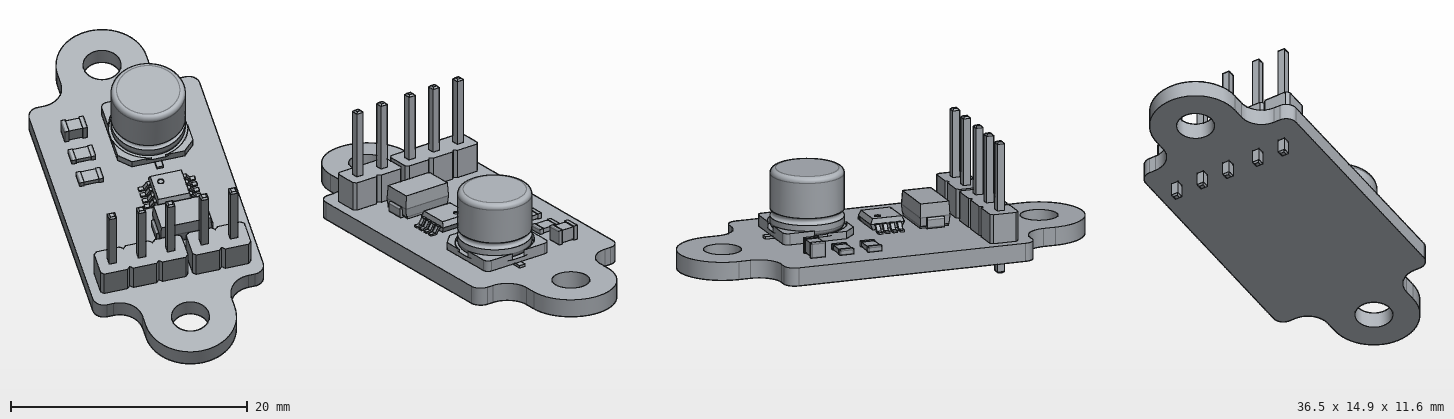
import cadquery as cq


LENGTH = 36.45
BOARD_LENGTH = 22.5
BOARD_WIDTH = 14.95
BOARD_THICKNESS = 1.6
EAR_RADIUS = 3.9
EAR_HOLE_DIAMETER = 3.2
BOARD_CORNER_RADIUS = 1.0
EAR_BLEND_RADIUS = 2.0
SELECTION_MARGIN = 0.35

PITCH = 2.55
HEADER_X = 8.7
HEADER_HEIGHT = 2.55
HEADER_CHAMFER = 0.25
PIN_SIDE = 0.65
PIN_TOP = 8.55
PIN_BOTTOM = -3.0
PIN_TIP_CHAMFER = 0.15
LONG_HEADER_Y = -2.8
LONG_HEADER_PINS = 3
SHORT_HEADER_Y = 3.97
SHORT_HEADER_PINS = 2

CAN_X = -5.98
CAN_Y = 1.8
CAN_RADIUS = 6.3 / 2
CAN_BOTTOM = 0.62
CAN_TOP = 5.85
CAN_EDGE_RADIUS = 0.47
GROOVE_BOTTOM = 1.65
GROOVE_TOP = 2.25
GROOVE_DEPTH = 0.3
BASE_SIDE = 6.6
BASE_GAP = 0.22
BASE_TOP_HIGH = 1.2
BASE_TOP_LOW = 0.87
BASE_CHAMFER = 1.0
BASE_CORNER_RADIUS = 1.0 / 2
BASE_POCKET_RADIUS = 3.35
CAN_TERMINAL_SPAN = 7.8
CAN_TERMINAL_WIDTH = 0.6

CHIP_ROW_Y = 1.85

CHIP_X = 0.75
CHIP_LENGTH_X = 3.05
CHIP_LENGTH_Y = 2.95
CHIP_BOTTOM = 0.1
CHIP_MIDDLE = 0.62
CHIP_TOP = 1.1
CHIP_DRAFT_X = 0.22
CHIP_DRAFT_Y = 0.1
LEADS_PER_SIDE = 4
LEAD_PITCH = 0.65
LEAD_WIDTH = 0.35
LEAD_THICKNESS = 0.15
LEAD_SPAN = 4.95
LEAD_FOOT = 0.45
LEAD_RISER = 0.33
LEAD_TOP = 0.65
DIMPLE_DIAMETER = 0.5
DIMPLE_DEPTH = 0.1
DIMPLE_INSET = 0.73

DIODE_X = 4.77
DIODE_LENGTH_X = 2.7
DIODE_LENGTH_Y = 4.5
DIODE_FOOT_HEIGHT = 0.2
DIODE_FOOT_SETBACK = 0.22
DIODE_SPLIT = 1.0
DIODE_TOP = 2.2
DIODE_DRAFT = 0.07
DIODE_LEAD_SPAN = 4.95
DIODE_LEAD_WIDTH = 1.53
DIODE_LEAD_TOP = 0.95
DIODE_LEAD_BEND = 0.15

CHIP_CAPACITOR_X = -7.6
RESISTOR_ROW_X = -5.05
PASSIVE_Y = -4.25
PASSIVE_TERMINAL_LENGTH = 0.4
PASSIVE_EDGE_RADIUS = 0.07
CHIP_CAPACITOR_SIZE = (1.3, 2.0, 1.3)
CHIP_CAPACITOR_STEP = 0.07
RESISTOR_SIZE = (1.25, 2.1, 0.47)
RESISTOR_STEP = 0.05
RESISTOR_COUNT = 2


def box(size_x, size_y, bottom, top):
    """A box centred on the Z axis between two heights."""
    return cq.Workplane("XY", origin=(0, 0, bottom)).rect(size_x, size_y).extrude(top - bottom)


def frustum(size_x, size_y, draft_x, draft_y, wide_z, narrow_z):
    """A rectangular block that narrows by the drafts from one height to another."""
    return (
        cq.Workplane("XY", origin=(0, 0, wide_z))
        .rect(size_x, size_y)
        .workplane(offset=narrow_z - wide_z)
        .rect(size_x - 2 * draft_x, size_y - 2 * draft_y)
        .loft(ruled=True)
    )


def pin_places(count, centre_y):
    """The Y places of a row of header pins."""
    return [centre_y + (index - (count - 1) / 2) * PITCH for index in range(count)]


def make_board():
    ear_x = LENGTH / 2 - EAR_RADIUS
    body = box(BOARD_LENGTH, BOARD_WIDTH, -BOARD_THICKNESS, 0)
    body = body.edges("|Z").fillet(BOARD_CORNER_RADIUS)
    strap = box(2 * ear_x, 2 * EAR_RADIUS, -BOARD_THICKNESS, 0)
    ear_centres = cq.Workplane("XY").pushPoints([(-ear_x, 0), (ear_x, 0)])
    ears = ear_centres.circle(EAR_RADIUS).extrude(-BOARD_THICKNESS)
    board = body.union(strap).union(ears)

    blend_edges = cq.selectors.BoxSelector(
        (-BOARD_LENGTH / 2 - SELECTION_MARGIN, -EAR_RADIUS - SELECTION_MARGIN, -BOARD_THICKNESS),
        (BOARD_LENGTH / 2 + SELECTION_MARGIN, EAR_RADIUS + SELECTION_MARGIN, 0),
    )
    board = board.edges("|Z").edges(blend_edges).fillet(EAR_BLEND_RADIUS)

    holes = ear_centres.circle(EAR_HOLE_DIAMETER / 2).extrude(-BOARD_THICKNESS)
    board = board.cut(holes)

    pins_y = pin_places(LONG_HEADER_PINS, LONG_HEADER_Y) + pin_places(SHORT_HEADER_PINS, SHORT_HEADER_Y)
    pin_holes = cq.Workplane("XY").pushPoints([(HEADER_X, y) for y in pins_y]).rect(PIN_SIDE, PIN_SIDE)
    return board.cut(pin_holes.extrude(-BOARD_THICKNESS))


def make_header(pin_count, centre_y):
    cell = box(PITCH, PITCH, 0, HEADER_HEIGHT).edges("|Z").chamfer(HEADER_CHAMFER)
    pin = box(PIN_SIDE, PIN_SIDE, PIN_BOTTOM, PIN_TOP).faces("<Z or >Z").chamfer(PIN_TIP_CHAMFER)
    header = cq.Workplane("XY")
    for y in pin_places(pin_count, centre_y):
        header = header.union(cell.union(pin).translate((HEADER_X, y, 0)))
    return header


def make_can():
    """Aluminium can with a rounded groove above its lower rim, turned about Z."""
    groove_middle = (GROOVE_BOTTOM + GROOVE_TOP) / 2
    can = (
        cq.Workplane("XZ")
        .moveTo(0, CAN_BOTTOM)
        .lineTo(CAN_RADIUS, CAN_BOTTOM)
        .lineTo(CAN_RADIUS, GROOVE_BOTTOM)
        .threePointArc((CAN_RADIUS - GROOVE_DEPTH, groove_middle), (CAN_RADIUS, GROOVE_TOP))
        .lineTo(CAN_RADIUS, CAN_TOP)
        .lineTo(0, CAN_TOP)
        .close()
        .revolve(360, (0, 0, 0), (0, 1, 0))
    )
    return can.faces("<Z or >Z").edges().fillet(CAN_EDGE_RADIUS)


def make_can_base():
    """Plastic base, lower on its +X half, with a round pocket that holds the can."""
    base = box(BASE_SIDE, BASE_SIDE, BASE_GAP, BASE_TOP_HIGH)
    base = base.edges("|Z and >X").chamfer(BASE_CHAMFER)
    base = base.edges("|Z and <X").fillet(BASE_CORNER_RADIUS)
    low_half = box(BASE_SIDE, BASE_SIDE, BASE_TOP_LOW, BASE_TOP_HIGH).translate((BASE_SIDE / 2, 0, 0))
    pocket = cq.Workplane("XY", origin=(0, 0, CAN_BOTTOM)).circle(BASE_POCKET_RADIUS).extrude(BASE_TOP_HIGH)
    return base.cut(low_half).cut(pocket)


def make_can_capacitor():
    terminals = box(CAN_TERMINAL_SPAN, CAN_TERMINAL_WIDTH, 0, BASE_GAP)
    capacitor = make_can_base().union(make_can()).union(terminals)
    return capacitor.translate((CAN_X, CAN_Y, 0))


def make_lead():
    """Gull-wing lead that runs from the chip's centre plane to +Y."""
    toe = LEAD_SPAN / 2
    heel = toe - LEAD_FOOT
    shoulder = heel - LEAD_RISER
    return (
        cq.Workplane("YZ")
        .moveTo(toe, 0)
        .lineTo(toe, LEAD_THICKNESS)
        .lineTo(heel, LEAD_THICKNESS)
        .lineTo(shoulder, LEAD_TOP)
        .lineTo(0, LEAD_TOP)
        .lineTo(0, LEAD_TOP - LEAD_THICKNESS)
        .lineTo(shoulder - LEAD_THICKNESS, LEAD_TOP - LEAD_THICKNESS)
        .lineTo(heel - LEAD_THICKNESS, 0)
        .close()
        .extrude(LEAD_WIDTH / 2, both=True)
    )


def make_chip():
    upper = frustum(CHIP_LENGTH_X, CHIP_LENGTH_Y, CHIP_DRAFT_X, CHIP_DRAFT_Y, CHIP_MIDDLE, CHIP_TOP)
    lower = frustum(CHIP_LENGTH_X, CHIP_LENGTH_Y, CHIP_DRAFT_X, CHIP_DRAFT_Y, CHIP_MIDDLE, CHIP_BOTTOM)
    chip = upper.union(lower)
    for index in range(LEADS_PER_SIDE):
        lead_x = (index - (LEADS_PER_SIDE - 1) / 2) * LEAD_PITCH
        lead = make_lead().translate((lead_x, 0, 0))
        chip = chip.union(lead).union(lead.mirror("XZ"))

    dimple_x = DIMPLE_INSET + CHIP_DRAFT_X - CHIP_LENGTH_X / 2
    dimple_y = DIMPLE_INSET + CHIP_DRAFT_Y - CHIP_LENGTH_Y / 2
    dimple = (
        cq.Workplane("XY", origin=(dimple_x, dimple_y, CHIP_TOP))
        .circle(DIMPLE_DIAMETER / 2)
        .extrude(-DIMPLE_DEPTH)
    )
    return chip.cut(dimple).translate((CHIP_X, CHIP_ROW_Y, 0))


def make_diode():
    upper = frustum(DIODE_LENGTH_X, DIODE_LENGTH_Y, DIODE_DRAFT, DIODE_DRAFT, DIODE_SPLIT, DIODE_TOP)
    lower = frustum(DIODE_LENGTH_X, DIODE_LENGTH_Y, DIODE_DRAFT, DIODE_DRAFT, DIODE_SPLIT, DIODE_FOOT_HEIGHT)
    foot = box(
        DIODE_LENGTH_X - 2 * DIODE_DRAFT,
        DIODE_LENGTH_Y - 2 * DIODE_FOOT_SETBACK,
        0,
        DIODE_FOOT_HEIGHT,
    )
    leads = box(DIODE_LEAD_WIDTH, DIODE_LEAD_SPAN, 0, DIODE_LEAD_TOP)
    leads = leads.edges("|X").fillet(DIODE_LEAD_BEND)
    return upper.union(lower).union(foot).union(leads).translate((DIODE_X, CHIP_ROW_Y, 0))


def make_passive(size, step, x):
    """Two-terminal chip whose middle stands back by a step from its terminals."""
    size_x, size_y, height = size
    passive = box(size_x - 2 * step, size_y - PASSIVE_TERMINAL_LENGTH, step, height - step)
    terminal = box(size_x, PASSIVE_TERMINAL_LENGTH, 0, height)
    terminal = terminal.translate((0, (size_y - PASSIVE_TERMINAL_LENGTH) / 2, 0))
    terminal = terminal.faces(">Y").edges().fillet(PASSIVE_EDGE_RADIUS)
    passive = passive.union(terminal).union(terminal.mirror("XZ"))
    return passive.translate((x, PASSIVE_Y, 0))


board = make_board()
long_header = make_header(LONG_HEADER_PINS, LONG_HEADER_Y)
short_header = make_header(SHORT_HEADER_PINS, SHORT_HEADER_Y)
can_capacitor = make_can_capacitor()
chip = make_chip()
diode = make_diode()
chip_capacitor = make_passive(CHIP_CAPACITOR_SIZE, CHIP_CAPACITOR_STEP, CHIP_CAPACITOR_X)
resistors = [
    make_passive(RESISTOR_SIZE, RESISTOR_STEP, RESISTOR_ROW_X + index * PITCH)
    for index in range(RESISTOR_COUNT)
]

result = cq.Compound.makeCompound(
    [
        board.val(),
        long_header.val(),
        short_header.val(),
        can_capacitor.val(),
        chip.val(),
        diode.val(),
        chip_capacitor.val(),
        *[resistor.val() for resistor in resistors],
    ]
)